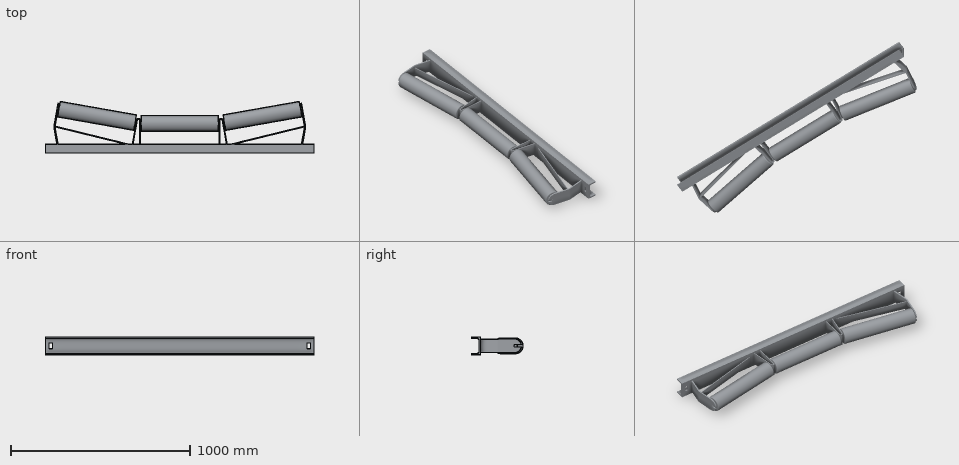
import cadquery as cq
import math


channel_length = 1500.0
channel_height = 100.0
channel_depth = 51.0
web_thickness = 9.0
flange_thickness = 9.0
channel_root_radius = 9.0
flange_tip_radius = 5.0
mount_hole_width = 18.0
mount_hole_height = 32.0
mount_hole_inset = 30.0

tilt = 10.0
roller_diameter = 88.0
roller_length = 432.0
roller_edge_radius = 5.0
shaft_depth = 21.0
shaft_width = 14.0
middle_roller_height = 115.0
side_roller_height = 118.0

bracket_width = 76.0
outer_thickness = 8.0
outer_foot_x = 682.0
outer_bend_height = 96.0
outer_end_drop = 6.0
outer_bend_radius = 21.0
inner_thickness = 5.0
inner_top_height = 142.0
inner_bend_radius = 9.0
inner_leg_x = 222.0
inner_foot_x = 262.0
strut_width = 50.0
strut_thickness = 5.0
strut_foot_x = 295.0
strut_top_height = 99.0

slope = math.tan(math.radians(tilt))
outer_bend_x = outer_foot_x + outer_bend_height * slope
leg_gap = outer_bend_x + outer_bend_height * slope - inner_foot_x
side_span = leg_gap * math.cos(math.radians(tilt))
inner_shaft_x = inner_foot_x - side_roller_height * slope
side_mid_x = inner_shaft_x + side_span / 2 * math.cos(math.radians(tilt))
side_mid_y = side_roller_height + side_span / 2 * math.sin(math.radians(tilt))


def plate(points, width):
    """Extrude an XY outline to a width centred on Z = 0."""
    return cq.Workplane("XY", origin=(0, 0, -width / 2)).polyline(points).close().extrude(width)


def make_channel():
    """Channel open toward -Y, with rounded roots and flange tips and a mounting hole at each end."""
    body = cq.Workplane("XY").box(channel_length, channel_depth, channel_height)
    body = body.translate((0, -channel_depth / 2, 0))
    trough = (
        cq.Workplane("XY")
        .box(channel_length, channel_depth, channel_height - 2 * flange_thickness)
        .translate((0, -web_thickness - channel_depth / 2, 0))
        .edges("|X and >Y")
        .fillet(channel_root_radius)
    )
    body = body.cut(trough)
    tip_height = channel_height / 2 - flange_thickness
    for z in (-tip_height, tip_height):
        tip = cq.selectors.NearestToPointSelector((0, -channel_depth, z))
        body = body.edges("|X").edges(tip).fillet(flange_tip_radius)
    hole_x = channel_length / 2 - mount_hole_inset
    hole = cq.Workplane("XY").box(mount_hole_width, channel_depth, mount_hole_height)
    for x in (-hole_x, hole_x):
        body = body.cut(hole.translate((x, 0, 0)))
    return body


def make_shaft(length):
    """Bar on the X axis, centred on X = 0."""
    return cq.Workplane("YZ", origin=(-length / 2, 0, 0)).slot2D(shaft_depth, shaft_width).extrude(length)


def make_roller(shaft_start, shaft_end):
    """Roller on the X axis centred on X = 0, with a shaft from shaft_start to shaft_end."""
    body = cq.Workplane("YZ", origin=(-roller_length / 2, 0, 0)).circle(roller_diameter / 2)
    body = body.extrude(roller_length).edges("%CIRCLE").fillet(roller_edge_radius)
    shaft = make_shaft(shaft_end - shaft_start).translate(((shaft_start + shaft_end) / 2, 0, 0))
    return body.union(shaft)


def tilted(shape):
    """Move a shape from the X axis to the +X side roller's axis, X = 0 at mid-span."""
    return shape.rotate((0, 0, 0), (0, 0, 1), tilt).translate((side_mid_x, side_mid_y, 0))


def bend_rounded(bracket):
    """Round the outer bracket's fold on both faces, keeping its thickness."""
    half = outer_thickness / 2 / math.cos(math.radians(tilt))
    inside = cq.selectors.NearestToPointSelector((outer_bend_x - half, outer_bend_height, 0))
    outside = cq.selectors.NearestToPointSelector((outer_bend_x + half, outer_bend_height, 0))
    bracket = bracket.edges("|Z").edges(inside).fillet(outer_bend_radius - outer_thickness)
    return bracket.edges("|Z").edges(outside).fillet(outer_bend_radius)


def make_outer_bracket():
    """Plate folded at mid height, its upper end rounded and slotted open for the shaft."""
    half = outer_thickness / 2 / math.cos(math.radians(tilt))
    top_height = side_mid_y + 2 * bracket_width
    top_x = outer_bend_x - (top_height - outer_bend_height) * slope
    middle = [(outer_foot_x, 0), (outer_bend_x, outer_bend_height), (top_x, top_height)]
    outline = [(x - half, y) for x, y in middle] + [(x + half, y) for x, y in reversed(middle)]
    bracket = plate(outline, bracket_width)
    bracket = bend_rounded(bracket)

    reach = 3 * bracket_width
    past_centre = cq.Workplane("XY").box(reach, reach, reach).translate((0, reach / 2, 0))
    round_end = cq.Workplane("YZ", origin=(-reach / 2, 0, 0)).circle(bracket_width / 2).extrude(reach)
    waste = past_centre.cut(round_end).translate((0, -outer_end_drop, 0))
    slot = make_shaft(reach).union(
        cq.Workplane("XY").box(reach, reach, shaft_width).translate((0, reach / 2, 0))
    )
    cutter = waste.union(slot).translate((side_span / 2, 0, 0))
    return bracket.cut(tilted(cutter))


def make_inner_bracket():
    """Folded plate shared by the middle roller (upright leg) and a side roller (sloping leg)."""
    half = inner_thickness / 2
    half_sloped = half / math.cos(math.radians(tilt))

    def profile(offset, offset_sloped, top):
        """Outline from foot to foot, its sides moved outward from the middles of the two legs."""
        return [
            (inner_leg_x - offset, 0),
            (inner_leg_x - offset, top),
            (inner_foot_x + offset_sloped - top * slope, top),
            (inner_foot_x + offset_sloped, 0),
        ]

    outside = plate(profile(half, half_sloped, inner_top_height), bracket_width)
    outside = outside.edges("|Z and >Y").fillet(inner_bend_radius)
    inside = plate(profile(-half, -half_sloped, inner_top_height - inner_thickness), bracket_width)
    inside = inside.edges("|Z and >Y").fillet(inner_bend_radius - inner_thickness)
    middle_hole = make_shaft(2 * inner_leg_x + inner_thickness).translate((0, middle_roller_height, 0))
    side_hole = tilted(make_shaft(side_span + inner_thickness))
    return outside.cut(inside).cut(middle_hole).cut(side_hole)


def make_strut(outer_bracket):
    """Flat bar from the channel to the inside of the outer bracket, near its bend."""
    rise = math.atan2(strut_top_height, outer_bend_x - strut_foot_x)
    half_foot = strut_thickness / 2 / math.sin(rise)
    half_top = strut_thickness / 2 / math.cos(rise)
    bar = plate(
        [
            (strut_foot_x - half_foot, 0),
            (strut_foot_x + half_foot, 0),
            (outer_bend_x, strut_top_height - half_top),
            (outer_bend_x, strut_top_height + half_top),
        ],
        strut_width,
    )
    return bar.cut(outer_bracket)


channel = make_channel()
middle_shaft_end = inner_leg_x + inner_thickness / 2
middle_roller = make_roller(-middle_shaft_end, middle_shaft_end).translate((0, middle_roller_height, 0))
side_roller = tilted(
    make_roller(-(side_span + inner_thickness) / 2, (side_span + outer_thickness) / 2)
)
outer_bracket = make_outer_bracket()
inner_bracket = make_inner_bracket()
strut = make_strut(outer_bracket)

solids = [channel.val(), middle_roller.val()]
for body in (side_roller, outer_bracket, inner_bracket, strut):
    solids.append(body.val())
    solids.append(body.mirror("YZ").val())

result = cq.Compound.makeCompound(solids)